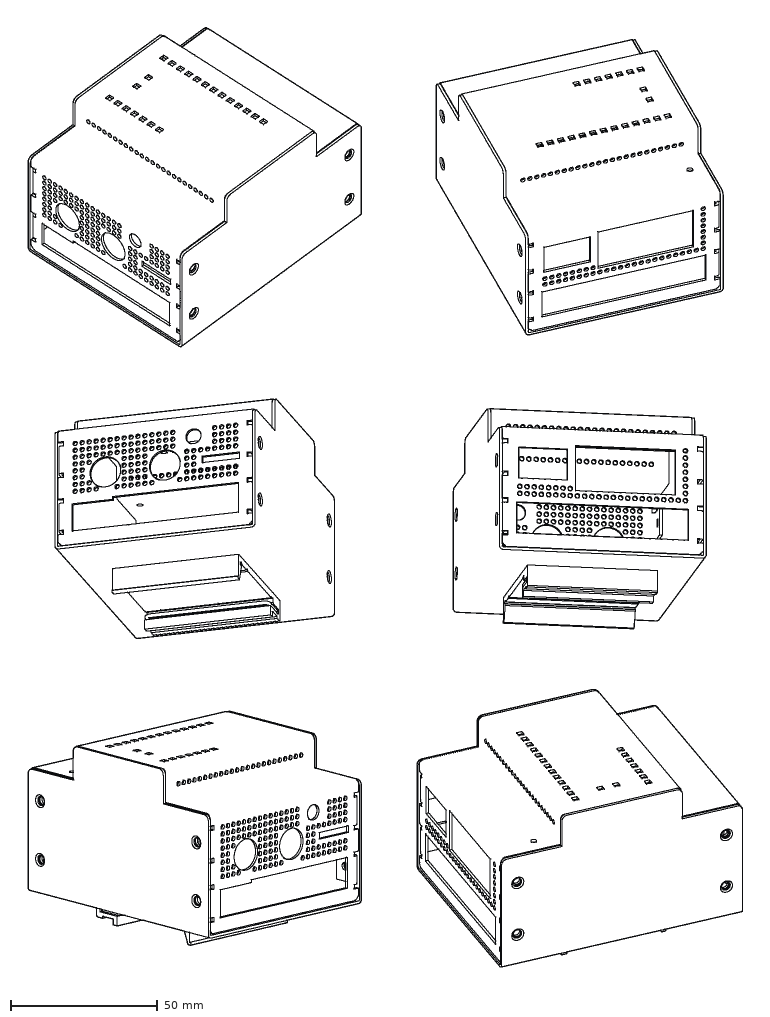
import cadquery as cq
SHEET = 1.0
BEND_OUTER = 1.35
BEND_INNER = BEND_OUTER - SHEET

WIDTH = 71.8
DEPTH = 90.0
HEIGHT = 55.4
SHELF_Z = 43.7
RISER_HALF_DEPTH = 22.5
INNER_HALF_WIDTH = WIDTH / 2 - SHEET

CHEEK_SHELF_DROP = 0.4
CHEEK_CORNER_RADIUS = 2.0

FLOOR_GAP = 0.3
COVER_BOTTOM_Z = SHEET + FLOOR_GAP
PANEL_CORNER_CHAMFER = 1.35
PANEL_INSET = 0.45
PANEL_Y = DEPTH / 2 - PANEL_INSET
FRONT_Y = -PANEL_Y

TAB_HEIGHT = 10.0
TAB_LENGTH = 10.0
TAB_LEVELS = (11.9, 32.8)
TAB_RELIEF = 1.5
TAB_NOTCH_WIDTH = 2.0
TAB_HOLE_DIAMETER = 2.7
TAB_HOLE_Y = 38.8
TAB_HOLE_RISE = 0.3

SCREW_Y = 39.0
SCREW_LEVELS = (12.15, 32.85)
SCREW_DIAMETER = 3.2
SINK_DIAMETER = 4.5
SINK_DEPTH = 0.45

VENT_DIAMETER = 1.5
VENT_COLUMNS = 24
VENT_SPAN = 57.5
VENT_PITCH = VENT_SPAN / (VENT_COLUMNS - 1)
VENT_BOTTOM_Z = 20.6
RISER_VENT_Z = 49.2
BACK_VENT_DROP = 0.45
FRONT_VENT_ROWS = (
    ((0, 3), (6, 11), (15, 23)),
    ((0, 2), (7, 10), (16, 23)),
    ((0, 1), (7, 10), (16, 17)),
    ((0, 1), (7, 10), (16, 17)),
    ((0, 2), (7, 10), (16, 23)),
    ((0, 14), (20, 23)),
    ((0, 14), (20, 23)),
    ((0, 14), (20, 23)),
)
BACK_VENT_ROWS = (
    ((0, 23),),
    ((0, 0), (16, 23)),
) + (((0, 0),),) * 6

SOCKET_DIAMETER = 11.0
SOCKET_XS = (-17.9, 3.4)
SOCKET_Z = 26.5
BUTTON_DIAMETER = 5.4
BUTTON_X = 13.7
BUTTON_Z = 35.8
CARD_SLOT = (16.7, 30.15, 25.8, 28.2)
TERMINAL_HALF_WIDTH = 29.8
TERMINAL_BOTTOM_Z = 6.2
TERMINAL_TOP_Z = 17.1
TERMINAL_STEP_X = -15.3
TERMINAL_STEP_Z = 16.1

BACK_WIDE_WINDOW = (-25.2, 9.45, 22.0, 37.8)
BACK_NARROW_WINDOW = (12.2, 29.2, 25.6, 36.45)

LIGHT_SIZE = 2.0
LIGHT_FIRST_X = -27.1
LIGHT_PITCH = 46.5 / 12
LIGHT_ROW_Y = 13.6
BACK_LIGHTS = 13
FRONT_LIGHTS = 7
PAIR_X = -24.3
PAIR_Y = 3.0
RESET_DIAMETER = 2.0
RESET_X = -29.2
RESET_Y = 30.1

CLIP_WIDTH = 45.2
CLIP_DROP = 9.0
CLIP_BACK_Y = 25.0
CLIP_WEB = 2.5
JAW_BOTTOM_Z = -7.65
JAW_CHAMFER = 0.45
JAW_RELIEF_BACK_Y = 22.0
JAW_RELIEF_FRONT_Y = 16.7
JAW_RELIEF_Z = -6.9
JAW_FRONT_Y = 14.7
RAIL_STOP_Y = 17.4
RAIL_PAD_Z = -2.2
RAIL_PAD_END_Y = 15.2
GROOVE_Y = -11.9
GROOVE_HALF_WIDTH = 0.7
GROOVE_TOP_Z = -1.8
HOOK_Y = -21.5
HOOK_INNER_Y = -18.45
HOOK_NOSE_Z = -3.1
HOOK_TIP_Y = -20.6
TOE_CENTRE_Y = -21.8
TOE_DIAMETER = 1.0
SLOT_TOP_Z = -3.9
SLOT_BOTTOM_Z = -5.6
SLOT_END_Y = 23.3
WIRE_DIAMETER = 1.3
WIRE_Z = (SLOT_TOP_Z + SLOT_BOTTOM_Z) / 2
WIRE_FRONT_Y = 13.0
WIRE_FRONT_BEND = 1.7
WIRE_BACK_BEND = 0.7


def box(x_from, x_to, y_from, y_to, z_from, z_to):
    size = (x_to - x_from, y_to - y_from, z_to - z_from)
    return cq.Workplane("XY").box(*size, centered=False).translate((x_from, y_from, z_from))


def fillet_near(body, points, radius):
    for point in points:
        body = body.edges(cq.selectors.NearestToPointSelector(point)).fillet(radius)
    return body


def stepped_block(half_width, half_depth, riser_half, bottom, shelf, top, convex, concave):
    """Solid with a raised middle; its upper corners and the riser feet are rounded."""
    half_outline = [(half_depth, bottom), (half_depth, shelf), (riser_half, shelf), (riser_half, top)]
    mirrored = [(-y, z) for y, z in reversed(half_outline)]
    block = cq.Workplane("YZ").polyline(half_outline + mirrored).close().extrude(half_width, both=True)
    for side in (-1, 1):
        corners = [(0, side * half_depth, shelf), (0, side * riser_half, top)]
        block = fillet_near(block, corners, convex)
        if concave:
            block = fillet_near(block, [(0, side * riser_half, shelf)], concave)
    return block


def panel_drill(x, z, diameter, side):
    """Cutter along y through the front (side = -1) or back (side = 1) half of the housing."""
    return cq.Workplane(cq.Solid.makeCylinder(
        diameter / 2, DEPTH / 2, cq.Vector(x, 0, z), cq.Vector(0, side, 0)
    ))


def cut_all(body, cutters):
    solids = [cutter.val() for cutter in cutters]
    return cq.Workplane(body.val().cut(*solids))


def make_base():
    channel = box(-WIDTH / 2, WIDTH / 2, -DEPTH / 2, DEPTH / 2, 0, HEIGHT)
    channel = channel.edges("|Y and <Z").fillet(BEND_OUTER)
    inside = box(-INNER_HALF_WIDTH, INNER_HALF_WIDTH, -DEPTH / 2, DEPTH / 2, SHEET, HEIGHT)
    inside = inside.edges("|Y and <Z").fillet(BEND_INNER)
    outline = stepped_block(
        WIDTH / 2, DEPTH / 2, RISER_HALF_DEPTH, 0, SHELF_Z - CHEEK_SHELF_DROP, HEIGHT,
        CHEEK_CORNER_RADIUS, 0,
    )
    base = channel.cut(inside).intersect(outline)
    return cut_all(base, cheek_screw_holes())


def cheek_screw_holes():
    cutters = []
    for side in (-1, 1):
        inward = cq.Vector(-side, 0, 0)
        for y in (-SCREW_Y, SCREW_Y):
            for z in SCREW_LEVELS:
                start = cq.Vector(side * WIDTH / 2, y, z)
                shank = cq.Solid.makeCylinder(SCREW_DIAMETER / 2, 2 * SHEET, start, inward)
                sink = cq.Solid.makeCone(SINK_DIAMETER / 2, SCREW_DIAMETER / 2, SINK_DEPTH, start, inward)
                cutters.append(cq.Workplane(shank.fuse(sink)))
    return cutters


def make_cover():
    outside = stepped_block(
        INNER_HALF_WIDTH, PANEL_Y, RISER_HALF_DEPTH, COVER_BOTTOM_Z, SHELF_Z, HEIGHT,
        BEND_OUTER, BEND_INNER,
    )
    inside = stepped_block(
        INNER_HALF_WIDTH, PANEL_Y - SHEET, RISER_HALF_DEPTH - SHEET, COVER_BOTTOM_Z,
        SHELF_Z - SHEET, HEIGHT - SHEET, BEND_INNER, BEND_OUTER,
    )
    cover = outside.cut(inside)
    panel_corners = [
        (x, side * (PANEL_Y - SHEET / 2), COVER_BOTTOM_Z)
        for x in (-INNER_HALF_WIDTH, INNER_HALF_WIDTH)
        for side in (-1, 1)
    ]
    for corner in panel_corners:
        cover = cover.edges(cq.selectors.NearestToPointSelector(corner)).chamfer(PANEL_CORNER_CHAMFER)
    cover = add_tabs(cover)
    cover = cut_all(cover, vent_drills(FRONT_VENT_ROWS, VENT_BOTTOM_Z, -1))
    cover = cut_all(cover, vent_drills(BACK_VENT_ROWS, VENT_BOTTOM_Z - BACK_VENT_DROP, 1))
    for side in (-1, 1):
        cover = cut_all(cover, vent_drills((((0, VENT_COLUMNS - 1),),), RISER_VENT_Z, side))
    cover = cut_all(cover, front_openings())
    cover = cut_all(cover, back_openings())
    return cut_all(cover, top_openings())


def make_tab():
    """Screw tab at the front +X corner, centred on z = 0."""
    half = TAB_HEIGHT / 2
    root_x = INNER_HALF_WIDTH - TAB_NOTCH_WIDTH
    end_y = FRONT_Y + TAB_LENGTH
    tab = box(root_x, INNER_HALF_WIDTH, FRONT_Y, end_y, -half, half)
    tab = tab.edges("|Z and >X and <Y").fillet(BEND_OUTER)
    hollow = box(root_x, INNER_HALF_WIDTH - SHEET, FRONT_Y + SHEET, end_y, -half, half)
    hollow = hollow.edges("|Z and >X and <Y").fillet(BEND_INNER)
    hole = cq.Workplane(cq.Solid.makeCylinder(
        TAB_HOLE_DIAMETER / 2, 2 * TAB_NOTCH_WIDTH,
        cq.Vector(root_x, -TAB_HOLE_Y, TAB_HOLE_RISE), cq.Vector(1, 0, 0),
    ))
    return tab.cut(hollow).cut(hole)


def add_tabs(cover):
    notch_half = TAB_HEIGHT / 2 + TAB_RELIEF
    notch = box(
        INNER_HALF_WIDTH - TAB_NOTCH_WIDTH, INNER_HALF_WIDTH,
        FRONT_Y, FRONT_Y + SHEET, -notch_half, notch_half,
    )
    front_right_tab = make_tab()
    for z in TAB_LEVELS:
        for mirrors in ((), ("YZ",), ("XZ",), ("YZ", "XZ")):
            cutter, tab = notch, front_right_tab
            for plane in mirrors:
                cutter = cutter.mirror(plane)
                tab = tab.mirror(plane)
            cover = cover.cut(cutter.translate((0, 0, z))).union(tab.translate((0, 0, z)))
    return cover


def vent_drills(rows, bottom_z, side):
    drills = []
    for row, runs in enumerate(rows):
        for first, last in runs:
            for column in range(first, last + 1):
                x = -VENT_SPAN / 2 + column * VENT_PITCH
                drills.append(panel_drill(x, bottom_z + row * VENT_PITCH, VENT_DIAMETER, side))
    return drills


def front_window(x_from, x_to, z_from, z_to):
    return box(x_from, x_to, FRONT_Y, FRONT_Y + SHEET, z_from, z_to)


def back_window(x_from, x_to, z_from, z_to):
    return box(x_from, x_to, PANEL_Y - SHEET, PANEL_Y, z_from, z_to)


def front_openings():
    sockets = [panel_drill(x, SOCKET_Z, SOCKET_DIAMETER, -1) for x in SOCKET_XS]
    return sockets + [
        panel_drill(BUTTON_X, BUTTON_Z, BUTTON_DIAMETER, -1),
        front_window(*CARD_SLOT),
        front_window(-TERMINAL_HALF_WIDTH, TERMINAL_HALF_WIDTH, TERMINAL_BOTTOM_Z, TERMINAL_STEP_Z),
        front_window(TERMINAL_STEP_X, TERMINAL_HALF_WIDTH, TERMINAL_BOTTOM_Z, TERMINAL_TOP_Z),
    ]


def back_openings():
    return [
        back_window(*BACK_WIDE_WINDOW),
        back_window(*BACK_NARROW_WINDOW),
        back_window(-TERMINAL_HALF_WIDTH, TERMINAL_HALF_WIDTH, TERMINAL_BOTTOM_Z, TERMINAL_TOP_Z),
    ]


def top_openings():
    places = [(LIGHT_FIRST_X + i * LIGHT_PITCH, LIGHT_ROW_Y) for i in range(BACK_LIGHTS)]
    places += [(LIGHT_FIRST_X + i * LIGHT_PITCH, -LIGHT_ROW_Y) for i in range(FRONT_LIGHTS)]
    places += [(PAIR_X, y) for y in (-PAIR_Y, PAIR_Y)]
    half = LIGHT_SIZE / 2
    lights = [box(x - half, x + half, y - half, y + half, HEIGHT - SHEET, HEIGHT) for x, y in places]
    reset = cq.Workplane(cq.Solid.makeCylinder(
        RESET_DIAMETER / 2, SHEET, cq.Vector(RESET_X, RESET_Y, SHELF_Z - SHEET)
    ))
    return lights + [reset]


def make_clip():
    """Profile in the YZ plane, walked from the back jaw past the web to the hook."""
    jaw = [
        (CLIP_BACK_Y, 0),
        (CLIP_BACK_Y, JAW_BOTTOM_Z + JAW_CHAMFER),
        (CLIP_BACK_Y - JAW_CHAMFER, JAW_BOTTOM_Z),
        (JAW_RELIEF_BACK_Y, JAW_BOTTOM_Z),
        (JAW_RELIEF_BACK_Y, JAW_RELIEF_Z),
        (JAW_RELIEF_FRONT_Y, JAW_RELIEF_Z),
        (JAW_RELIEF_FRONT_Y, -CLIP_DROP),
        (JAW_FRONT_Y, -CLIP_DROP),
        (JAW_FRONT_Y, SLOT_BOTTOM_Z),
        (SLOT_END_Y, SLOT_BOTTOM_Z),
        (SLOT_END_Y, SLOT_TOP_Z),
        (RAIL_STOP_Y + 0.7, SLOT_TOP_Z),
        (RAIL_STOP_Y, SLOT_TOP_Z + 0.4),
    ]
    web_underside = [
        (RAIL_STOP_Y, GROOVE_TOP_Z),
        (RAIL_STOP_Y - 0.6, RAIL_PAD_Z),
        (RAIL_PAD_END_Y, RAIL_PAD_Z),
        (RAIL_PAD_END_Y, -CLIP_WEB),
        (GROOVE_Y + GROOVE_HALF_WIDTH, -CLIP_WEB),
        (GROOVE_Y, GROOVE_TOP_Z),
        (GROOVE_Y - GROOVE_HALF_WIDTH, -CLIP_WEB),
    ]
    hook = [
        (HOOK_INNER_Y + 0.5, -CLIP_WEB),
        (HOOK_INNER_Y, GROOVE_TOP_Z),
        (HOOK_INNER_Y - 0.9, GROOVE_TOP_Z - 0.3),
        (HOOK_INNER_Y - 0.9, HOOK_NOSE_Z + 0.4),
        (HOOK_INNER_Y, HOOK_NOSE_Z),
        (HOOK_INNER_Y, HOOK_NOSE_Z - 0.5),
        (HOOK_TIP_Y, -CLIP_DROP),
        (TOE_CENTRE_Y, -CLIP_DROP),
    ]
    toe_radius = TOE_DIAMETER / 2
    toe_top_z = -CLIP_DROP + TOE_DIAMETER
    outline = (
        cq.Workplane("YZ")
        .polyline(jaw + web_underside + hook)
        .threePointArc((TOE_CENTRE_Y - toe_radius, -CLIP_DROP + toe_radius), (TOE_CENTRE_Y, toe_top_z))
        .lineTo(HOOK_Y, toe_top_z)
        .lineTo(HOOK_Y, 0)
        .close()
    )
    return outline.extrude(CLIP_WIDTH / 2, both=True)


def make_spring():
    radius = WIRE_DIAMETER / 2
    side_x = CLIP_WIDTH / 2 - radius
    front_y = WIRE_FRONT_Y + radius
    back_y = SLOT_END_Y - radius
    loop = box(-side_x, side_x, front_y, back_y, WIRE_Z, WIRE_Z + WIRE_DIAMETER)
    loop = loop.edges("|Z and <Y").fillet(WIRE_FRONT_BEND)
    loop = loop.edges("|Z and >Y").fillet(WIRE_BACK_BEND)
    path = loop.faces("<Z").wires().val()
    section = cq.Workplane("YZ", origin=(0, front_y, WIRE_Z)).circle(radius)
    return section.sweep(cq.Workplane(path))


base = make_base()
cover = make_cover()
clip = make_clip()
spring = make_spring()

result = cq.Compound.makeCompound([base.val(), cover.val(), clip.val(), spring.val()])